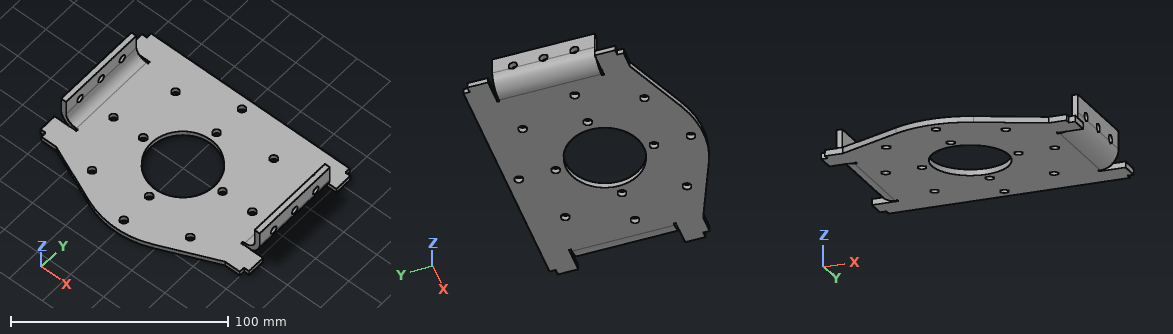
import math

import cadquery as cq

thickness = 3.0
half_width = 63.0
nose_radius = 48.0
back_y = nose_radius

flange_center_y = 9.0
shoulder_y = 2 * flange_center_y - back_y
corner_step = 3.0
taper_start_x = 51.0

flange_length = 50.0
flange_height = 18.0
flange_outer_x = half_width - corner_step
bend_inner_radius = 6.0
bend_outer_radius = bend_inner_radius + thickness
bend_start_x = flange_outer_x - bend_outer_radius
relief_width = 1.0
relief_depth = 1.0

bore_diameter = 38.0
hole_diameter = 4.0
inner_circle_radius = 24.0
inner_hole_count = 4
outer_circle_radius = 42.0
outer_hole_count = 8
flange_hole_z = 10.5
flange_hole_pitch = 15.0
flange_hole_count = 3


def make_plate():
    """Flat sheet with stepped corners and a nose tapering tangentially into an arc."""
    corner_angle = math.atan2(shoulder_y, taper_start_x)
    corner_distance = math.hypot(taper_start_x, shoulder_y)
    tangent_angle = corner_angle - math.acos(nose_radius / corner_distance)
    tangent_x = nose_radius * math.cos(tangent_angle)
    tangent_y = nose_radius * math.sin(tangent_angle)

    return (
        cq.Workplane("XY")
        .moveTo(-flange_outer_x, back_y)
        .lineTo(flange_outer_x, back_y)
        .lineTo(flange_outer_x, back_y - corner_step)
        .lineTo(half_width, back_y - corner_step)
        .lineTo(half_width, shoulder_y + corner_step)
        .lineTo(flange_outer_x, shoulder_y + corner_step)
        .lineTo(flange_outer_x, shoulder_y)
        .lineTo(taper_start_x, shoulder_y)
        .lineTo(tangent_x, tangent_y)
        .threePointArc((0, -nose_radius), (-tangent_x, tangent_y))
        .lineTo(-taper_start_x, shoulder_y)
        .lineTo(-flange_outer_x, shoulder_y)
        .lineTo(-flange_outer_x, shoulder_y + corner_step)
        .lineTo(-half_width, shoulder_y + corner_step)
        .lineTo(-half_width, back_y - corner_step)
        .lineTo(-flange_outer_x, back_y - corner_step)
        .close()
        .extrude(thickness)
    )


def make_side_opening():
    """Material removed at the +X edge: the flange blank and a relief slit at each end."""
    blank_width = half_width - bend_start_x
    blank = (
        cq.Workplane("XY")
        .center(bend_start_x + blank_width / 2, flange_center_y)
        .rect(blank_width, flange_length)
        .extrude(thickness)
    )
    slit_width = blank_width + relief_depth
    slit_offset = (flange_length + relief_width) / 2
    slits = (
        cq.Workplane("XY")
        .center(half_width - slit_width / 2, flange_center_y)
        .pushPoints([(0, -slit_offset), (0, slit_offset)])
        .rect(slit_width, relief_width)
        .extrude(thickness)
    )
    return blank.union(slits)


def make_flange():
    """Flange at the +X edge: quarter bend, upright wall and a row of holes."""
    inner_x = flange_outer_x - thickness
    diagonal = math.sqrt(0.5)
    bend_z = bend_outer_radius
    outer_mid = (bend_start_x + bend_outer_radius * diagonal, bend_z - bend_outer_radius * diagonal)
    inner_mid = (bend_start_x + bend_inner_radius * diagonal, bend_z - bend_inner_radius * diagonal)

    flange = (
        cq.Workplane("XZ", origin=(0, flange_center_y, 0))
        .moveTo(bend_start_x, 0)
        .threePointArc(outer_mid, (flange_outer_x, bend_z))
        .lineTo(flange_outer_x, flange_height)
        .lineTo(inner_x, flange_height)
        .lineTo(inner_x, bend_z)
        .threePointArc(inner_mid, (bend_start_x, thickness))
        .close()
        .extrude(flange_length / 2, both=True)
    )
    holes = (
        cq.Workplane("YZ", origin=(bend_start_x, flange_center_y, flange_hole_z))
        .rarray(flange_hole_pitch, 1.3, flange_hole_count, 1)
        .circle(hole_diameter / 2)
        .extrude(bend_outer_radius)
    )
    return flange.cut(holes)


def drill_plate(plate):
    """Central bore with two concentric circles of small holes."""
    return (
        plate.faces("<Z").workplane(origin=(0, 0, 0))
        .hole(bore_diameter)
        .polarArray(inner_circle_radius, 0, 360, inner_hole_count)
        .hole(hole_diameter)
        .faces("<Z").workplane(origin=(0, 0, 0))
        .polarArray(outer_circle_radius, 0, 360, outer_hole_count)
        .hole(hole_diameter)
    )


result = drill_plate(make_plate())
opening = make_side_opening()
flange = make_flange()
for side in (opening, opening.mirror("YZ")):
    result = result.cut(side)
for side in (flange, flange.mirror("YZ")):
    result = result.union(side)